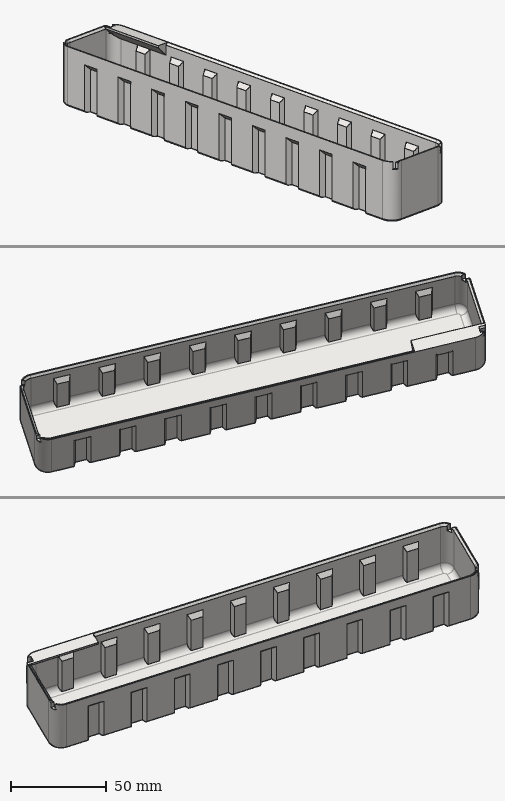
import cadquery as cq

length = 244.0
width = 41.2
height = 33.7
wall = 1.7
floor = 1.0
corner_radius = 7.0
bottom_chamfer = 1.0
floor_fillet = 4.0
rim_chamfer = 1.2

flute_count = 9
flute_span = 196.2
flute_top = height - 6.8
groove_depth = 3.0
groove_mouth_width = 9.0
groove_bottom_width = 6.0
rib_depth = 2.5
rib_base_width = 9.0
rib_tip_width = 6.5

notch_offset = 2.5
notch_width = 2.5
notch_depth = 4.5
notch_chamfer = 1.0
notch_length = 3.7

label_length = 40.0
label_width = 7.3
label_lip = 1.2

inner_length = length - 2 * wall
inner_width = width - 2 * wall
inner_radius = corner_radius - wall
front = -width / 2
back = width / 2
left = -length / 2
flute_pitch = flute_span / (flute_count - 1)
flute_places = [i * flute_pitch - flute_span / 2 for i in range(flute_count)]


def rounded_block(size_x, size_y, size_z, radius):
    """Block standing on Z = 0 with rounded vertical edges."""
    block = cq.Workplane("XY").box(size_x, size_y, size_z, centered=(True, True, False))
    return block.edges("|Z").fillet(radius)


def on_both_sides(shape):
    """The shape together with its mirror image across the XZ plane."""
    return shape.union(shape.mirror("XZ"))


def tapered_bar(x, outer_y, depth, outer_width, inner_width, bottom):
    """Upright bar narrowing inward from outer_y, its top falling inward at 45 degrees."""
    inner_y = outer_y + depth
    bar = (
        cq.Workplane("XY", origin=(x, 0, bottom))
        .moveTo(-outer_width / 2, outer_y)
        .lineTo(outer_width / 2, outer_y)
        .lineTo(inner_width / 2, inner_y)
        .lineTo(-inner_width / 2, inner_y)
        .close()
        .extrude(flute_top - bottom)
    )
    top_slope = (
        cq.Workplane("YZ", origin=(x - outer_width / 2, 0, 0))
        .moveTo(outer_y, flute_top)
        .lineTo(inner_y, flute_top)
        .lineTo(inner_y, flute_top - depth)
        .close()
        .extrude(outer_width)
    )
    return bar.cut(top_slope)


def tray():
    """Open box with a chamfered base, a filleted floor and a rim beveled inward."""
    outside = rounded_block(length, width, height, corner_radius)
    outside = outside.faces("<Z").edges().chamfer(bottom_chamfer)

    cavity = rounded_block(inner_length, inner_width, height, inner_radius)
    cavity = cavity.faces("<Z").edges().fillet(floor_fillet)

    spread = 2 * rim_chamfer
    bevel = rounded_block(inner_length + spread, inner_width + spread, spread, inner_radius + rim_chamfer)
    bevel = bevel.faces("<Z").edges().chamfer(rim_chamfer)

    hollow = outside.cut(cavity.translate((0, 0, floor)))
    return hollow.cut(bevel.translate((0, 0, height - rim_chamfer)))


def rib(x):
    return on_both_sides(tapered_bar(x, front + wall, rib_depth, rib_base_width, rib_tip_width, floor / 2))


def groove(x):
    return on_both_sides(tapered_bar(x, front, groove_depth, groove_mouth_width, groove_bottom_width, 0))


def label_shelf():
    shelf = (
        cq.Workplane("YZ", origin=(left, 0, 0))
        .moveTo(back, height)
        .lineTo(back - label_width, height)
        .lineTo(back - label_width, height - label_lip)
        .lineTo(back, height - label_lip - label_width)
        .close()
        .extrude(label_length)
    )
    return shelf.intersect(rounded_block(length, width, height, corner_radius))


def notches():
    """Cutters for the four corner notches, each chamfered on the side toward the end wall."""
    outer_side = front + notch_offset
    inner_side = outer_side + notch_width
    notch = (
        cq.Workplane("YZ", origin=(left, 0, 0))
        .moveTo(outer_side, height)
        .lineTo(outer_side, height - notch_depth)
        .lineTo(inner_side, height - notch_depth)
        .lineTo(inner_side, height - notch_chamfer)
        .lineTo(inner_side + notch_chamfer, height)
        .close()
        .extrude(notch_length)
    )
    return on_both_sides(notch.union(notch.mirror("YZ")))


result = tray()
for place in flute_places:
    result = result.union(rib(place))
for place in flute_places:
    result = result.cut(groove(place))
result = result.union(label_shelf())
result = result.cut(notches())